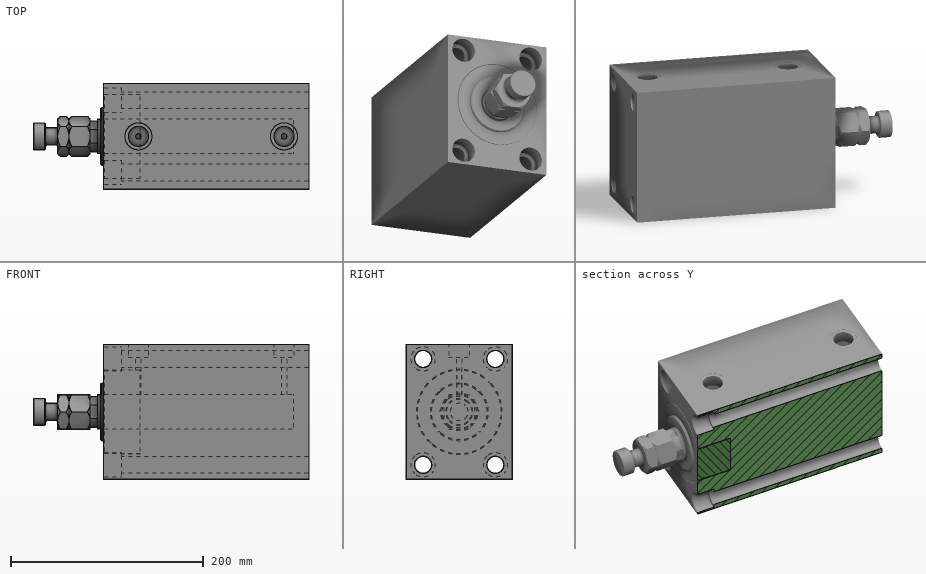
import cadquery as cq
import math


total_length = 286.0
housing_length = 213.4
housing_width = 110.0
housing_height = 140.0
tip_x = housing_length - total_length

mount_spacing_y = 75.0
mount_spacing_z = 109.8
mount_hole_diameter = 17.5
mount_head_diameter = 25.2
mount_head_depth = 18.5

port_positions_x = (36.3, 187.3)
port_seat_diameter = 28.0
port_seat_depth = 0.3
port_diameter = 21.0
port_depth = 13.5
oil_channel_diameter = 5.7

gland_radius = 43.5
gland_end_x = 38.0
gland_seat_chamfer = 1.0
collar_radius = 30.0
collar_height = 3.0
collar_chamfer = 1.1
gland_recess_radius = 19.5
gland_recess_depth = 1.5

rod_radius = 18.0
rod_front_x = -13.7
flats_end_x = -6.3
rod_neck_radius = 17.5
rod_flat_distance = 16.0
rod_shoulder_chamfer_radial = 0.23
rod_shoulder_chamfer_axial = 1.0
rod_end_x = 197.3

nut_across_flats = 2 * rod_radius
nut_joint_x = -35.8
nut_front_x = -47.5
nut_chamfer_angle = 45.0
head_radius = 14.0
head_end_x = -60.0
head_front_chamfer = 0.43
head_back_chamfer = 1.0
neck_radius = 9.2
neck_front_fillet = 1.5
neck_back_fillet = 1.1


def revolve_about_x(half_section):
    """Turn a closed outline of X and radius about the X axis."""
    return half_section.close().revolve(360, (0, 0, 0), (1, 0, 0))


def vertical_hole(center_x, diameter, top_z, bottom_z):
    """A round plug on Y = 0, to be cut away as a hole."""
    return (
        cq.Workplane("XY", origin=(center_x, 0, bottom_z))
        .circle(diameter / 2)
        .extrude(top_z - bottom_z)
    )


def make_housing():
    """A plain block with four mounting holes, a blind bore and two oil ports."""
    block = cq.Workplane("XY").box(
        housing_length, housing_width, housing_height, centered=(False, True, True)
    )
    block = (
        block.faces("<X")
        .workplane(centerOption="CenterOfBoundBox")
        .rect(mount_spacing_y, mount_spacing_z, forConstruction=True)
        .vertices()
        .cboreHole(mount_hole_diameter, mount_head_diameter, mount_head_depth)
    )

    mouth_radius = gland_radius + gland_seat_chamfer
    bore = revolve_about_x(
        cq.Workplane("XZ")
        .lineTo(0, mouth_radius)
        .lineTo(gland_seat_chamfer, gland_radius)
        .lineTo(gland_end_x, gland_radius)
        .lineTo(gland_end_x, rod_radius)
        .lineTo(rod_end_x, rod_radius)
        .lineTo(rod_end_x, 0)
    )
    block = block.cut(bore)

    top_z = housing_height / 2
    for port_x in port_positions_x:
        block = block.cut(vertical_hole(port_x, port_seat_diameter, top_z, top_z - port_seat_depth))
        block = block.cut(vertical_hole(port_x, port_diameter, top_z, top_z - port_depth))
        block = block.cut(vertical_hole(port_x, oil_channel_diameter, top_z, 0))
    return block


def make_gland():
    """A ring that fills the mouth of the bore, with a low collar in front."""
    recess_floor_x = -collar_height + gland_recess_depth
    return revolve_about_x(
        cq.Workplane("XZ")
        .moveTo(-collar_height, gland_recess_radius)
        .lineTo(-collar_height, collar_radius - collar_chamfer)
        .lineTo(-collar_height + collar_chamfer, collar_radius)
        .lineTo(0, collar_radius)
        .lineTo(0, gland_radius)
        .lineTo(gland_end_x, gland_radius)
        .lineTo(gland_end_x, rod_radius)
        .lineTo(recess_floor_x, rod_radius)
        .lineTo(recess_floor_x, gland_recess_radius)
    )


def make_rod():
    """A round bar with a slightly thinner front end."""
    rod = revolve_about_x(
        cq.Workplane("XZ")
        .moveTo(rod_front_x, 0)
        .lineTo(rod_front_x, rod_neck_radius)
        .lineTo(flats_end_x, rod_neck_radius)
        .lineTo(flats_end_x, rod_radius - rod_shoulder_chamfer_radial)
        .lineTo(flats_end_x + rod_shoulder_chamfer_axial, rod_radius)
        .lineTo(rod_end_x, rod_radius)
        .lineTo(rod_end_x, 0)
    )

    waste = (
        cq.Workplane("YZ", origin=(rod_front_x, 0, 0))
        .circle(2 * rod_radius)
        .rect(2 * rod_flat_distance, 2 * rod_flat_distance)
        .extrude(flats_end_x - rod_front_x)
    )
    return rod.cut(waste)


def make_hexagon(front_x, back_x):
    """A hexagon with corners on Y and both ends chamfered down to its inscribed circle."""
    corner_radius = nut_across_flats / math.sqrt(3)
    inner_radius = nut_across_flats / 2
    chamfer_length = (corner_radius - inner_radius) / math.tan(math.radians(nut_chamfer_angle))
    prism = (
        cq.Workplane("YZ", origin=(front_x, 0, 0))
        .polygon(6, 2 * corner_radius)
        .extrude(back_x - front_x)
    )
    envelope = revolve_about_x(
        cq.Workplane("XZ")
        .moveTo(front_x, 0)
        .lineTo(front_x, inner_radius)
        .lineTo(front_x + chamfer_length, corner_radius)
        .lineTo(back_x - chamfer_length, corner_radius)
        .lineTo(back_x, inner_radius)
        .lineTo(back_x, 0)
    )
    return prism.intersect(envelope)


def make_coupling():
    """A headed pin on two hexagons, butted against the front of the rod."""
    pin = revolve_about_x(
        cq.Workplane("XZ")
        .moveTo(tip_x, 0)
        .lineTo(tip_x, head_radius - head_front_chamfer)
        .lineTo(tip_x + head_front_chamfer, head_radius)
        .lineTo(head_end_x - head_back_chamfer, head_radius)
        .lineTo(head_end_x, head_radius - head_back_chamfer)
        .lineTo(head_end_x, neck_radius + neck_front_fillet)
        .radiusArc((head_end_x + neck_front_fillet, neck_radius), -neck_front_fillet)
        .lineTo(nut_front_x - neck_back_fillet, neck_radius)
        .radiusArc((nut_front_x, neck_radius + neck_back_fillet), -neck_back_fillet)
        .lineTo(nut_front_x, 0)
    )
    front_hexagon = make_hexagon(nut_front_x, nut_joint_x)
    back_hexagon = make_hexagon(nut_joint_x, rod_front_x)
    return pin.union(front_hexagon).union(back_hexagon)


housing = make_housing()
gland = make_gland()
rod = make_rod()
coupling = make_coupling()

result = cq.Compound.makeCompound([housing.val(), gland.val(), rod.val(), coupling.val()])